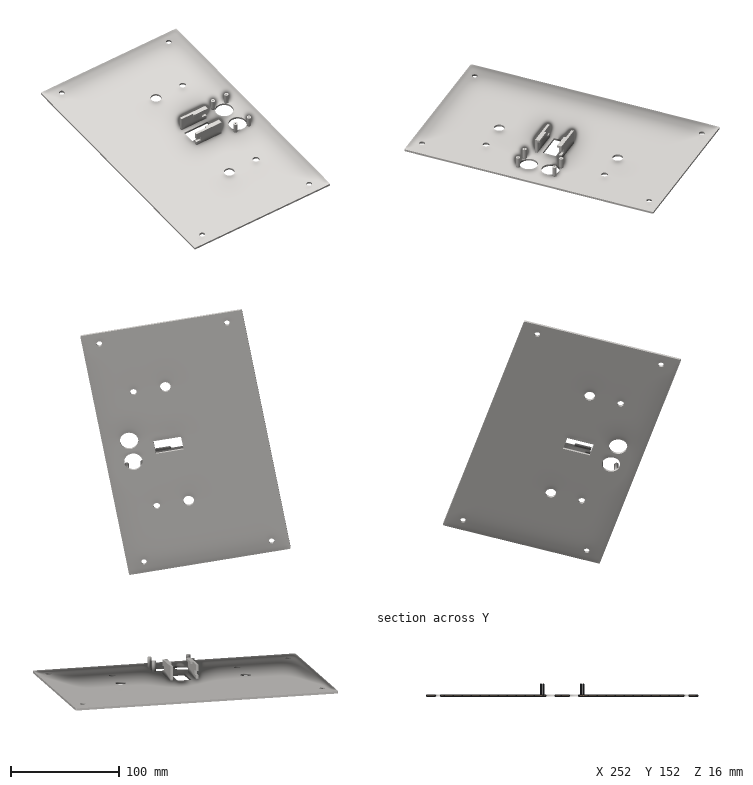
import cadquery as cq

PLATE_LENGTH = 252.0
PLATE_WIDTH = 152.0
PLATE_THICKNESS = 2.0
CORNER_RADIUS = 1.0
TOTAL_HEIGHT = 16.0

MOUNT_HOLE_DIAMETER = 5.2
MOUNT_HOLE_X = 115.0
MOUNT_HOLE_Y = 60.0
SMALL_HOLE_DIAMETER = 6.2
SMALL_HOLE_Y = 38.0
LARGE_HOLE_DIAMETER = 10.0
LARGE_HOLE_Y = 8.0
SIDE_HOLE_X = 60.0

SENSOR_DIAMETER = 17.0
SENSOR_X = 11.0
SENSOR_Y = 51.0
PIN_DIAMETER = 4.0
PIN_BORE_DIAMETER = 1.2
PIN_HEIGHT = 10.0
PIN_X = 18.5
PIN_OFFSET_Y = 7.5

WINDOW_WIDTH = 13.2
WINDOW_LENGTH = 26.0
WALL_START_Y = 3.0
WALL_LENGTH = 28.2
WALL_THICKNESS = 2.4
WALL_OUTER_X = 13.4
WALL_END_Y = WALL_START_Y + WALL_LENGTH

LIP_OVERHANG = 2.0
LIP_HEIGHT = 2.2
LIP_LENGTH = 15.5

NOTCH_DEPTH = 5.0
NOTCH_HEIGHT = 4.0
NOTCH_RISE = 4.0


def block(x_range, y_range, z_range):
    """Box spanning the given (start, end) range along each axis."""
    starts = (x_range[0], y_range[0], z_range[0])
    size = (x_range[1] - x_range[0], y_range[1] - y_range[0], z_range[1] - z_range[0])
    return cq.Workplane("XY").box(*size, centered=False).translate(starts)


def through_holes(points, diameter):
    """Cylinders that cut round holes through the plate."""
    return cq.Workplane("XY").pushPoints(points).circle(diameter / 2).extrude(PLATE_THICKNESS)


def mirrored_pair(x, y):
    """Two points placed symmetrically about the YZ plane."""
    return [(-x, y), (x, y)]


def make_plate():
    """Rounded plate with its round holes and the window cut through."""
    plate = cq.Workplane("XY").box(
        PLATE_LENGTH, PLATE_WIDTH, PLATE_THICKNESS, centered=(True, True, False)
    )
    plate = plate.edges("|Z").fillet(CORNER_RADIUS)
    mount_points = mirrored_pair(MOUNT_HOLE_X, MOUNT_HOLE_Y) + mirrored_pair(MOUNT_HOLE_X, -MOUNT_HOLE_Y)
    plate = plate.cut(through_holes(mount_points, MOUNT_HOLE_DIAMETER))
    plate = plate.cut(through_holes(mirrored_pair(SIDE_HOLE_X, SMALL_HOLE_Y), SMALL_HOLE_DIAMETER))
    plate = plate.cut(through_holes(mirrored_pair(SIDE_HOLE_X, LARGE_HOLE_Y), LARGE_HOLE_DIAMETER))
    plate = plate.cut(through_holes(mirrored_pair(SENSOR_X, SENSOR_Y), SENSOR_DIAMETER))
    window = block(
        (-WINDOW_WIDTH / 2, WINDOW_WIDTH / 2),
        (WALL_START_Y, WALL_START_Y + WINDOW_LENGTH),
        (0, PLATE_THICKNESS),
    )
    return plate.cut(window)


def make_pins():
    """Four pins, each with a blind bore down to the plate surface."""
    points = mirrored_pair(PIN_X, SENSOR_Y + PIN_OFFSET_Y) + mirrored_pair(PIN_X, SENSOR_Y - PIN_OFFSET_Y)
    plane = cq.Workplane("XY", origin=(0, 0, PLATE_THICKNESS))
    pins = plane.pushPoints(points).circle(PIN_DIAMETER / 2).extrude(PIN_HEIGHT)
    bores = plane.pushPoints(points).circle(PIN_BORE_DIAMETER / 2).extrude(PIN_HEIGHT)
    return pins.cut(bores)


def make_wall(notch_y_range):
    """Wall on the +X side, with its lip and an end notch."""
    inner_x = WALL_OUTER_X - WALL_THICKNESS
    wall = block(
        (inner_x, WALL_OUTER_X),
        (WALL_START_Y, WALL_END_Y),
        (PLATE_THICKNESS, TOTAL_HEIGHT),
    )
    lip = block(
        (inner_x - LIP_OVERHANG, WALL_OUTER_X),
        (WALL_END_Y - LIP_LENGTH, WALL_END_Y),
        (TOTAL_HEIGHT - LIP_HEIGHT, TOTAL_HEIGHT),
    )
    notch_bottom = PLATE_THICKNESS + NOTCH_RISE
    notch = block((inner_x, WALL_OUTER_X), notch_y_range, (notch_bottom, notch_bottom + NOTCH_HEIGHT))
    return wall.union(lip).cut(notch)


right_wall = make_wall((WALL_START_Y, WALL_START_Y + NOTCH_DEPTH))
left_wall = make_wall((WALL_END_Y - NOTCH_DEPTH, WALL_END_Y)).mirror("YZ")

result = make_plate().union(make_pins()).union(right_wall).union(left_wall)